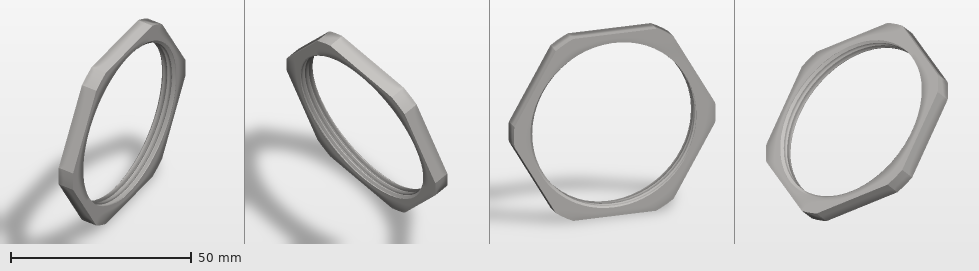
import cadquery as cq
import math

thickness = 4.7
across_flats = 54.0
across_corners = across_flats / math.cos(math.pi / 6)
corner_diameter = 59.26

thread_pitch = 1.5
crest_diameter = 48.0
root_diameter = 49.6
crest_width = thread_pitch / 8
groove_mouth_width = thread_pitch - crest_width
groove_root_width = thread_pitch / 8
root_phase_angle = -10.0
groove_overlap = 0.1


def make_blank():
    """Hexagonal plate with flats facing +Z and -Z and its corners turned round."""
    hexagon = cq.Workplane("YZ").polygon(6, across_corners).extrude(thickness)
    turned_corners = cq.Workplane("YZ").circle(corner_diameter / 2).extrude(thickness)
    return hexagon.intersect(turned_corners)


def make_thread_cutter():
    """Right-hand helical groove along X; its root meets the X = 0 face near +Y."""
    crest_radius = crest_diameter / 2
    root_radius = root_diameter / 2
    flank_run = (groove_mouth_width - groove_root_width) / 2 / (root_radius - crest_radius)
    inner_radius = crest_radius - groove_overlap
    inner_half_width = groove_mouth_width / 2 + groove_overlap * flank_run
    root_half_width = groove_root_width / 2

    turns = math.ceil(thickness / thread_pitch) + 2
    helix = cq.Wire.makeHelix(thread_pitch, turns * thread_pitch, crest_radius)
    groove = (
        cq.Workplane("XZ")
        .moveTo(inner_radius, -inner_half_width)
        .lineTo(root_radius, -root_half_width)
        .lineTo(root_radius, root_half_width)
        .lineTo(inner_radius, inner_half_width)
        .close()
        .sweep(cq.Workplane(obj=helix), isFrenet=True)
    )
    groove = groove.rotate((0, 0, 0), (1, 1, 1), 120)
    groove = groove.rotate((0, 0, 0), (1, 0, 0), root_phase_angle)
    return groove.translate((-thread_pitch, 0, 0))


bore = cq.Workplane("YZ").circle(crest_diameter / 2).extrude(thickness)
result = make_blank().cut(bore).cut(make_thread_cutter())